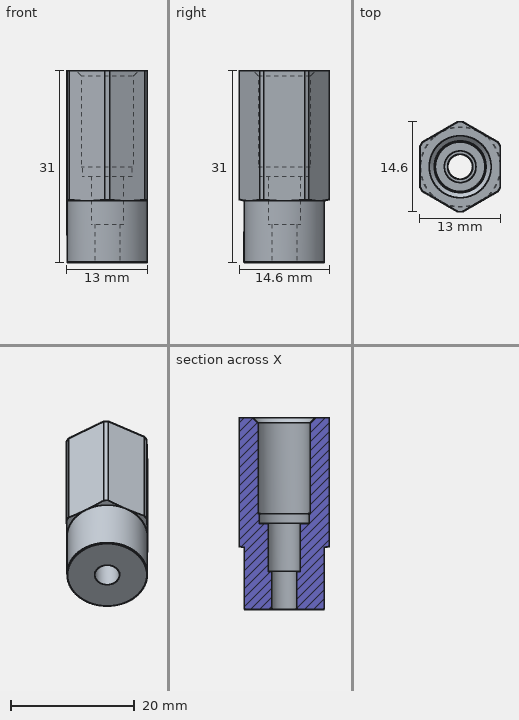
import cadquery as cq
import math

total_length = 31.0
across_flats = 13.0
across_corners = 14.57
shank_diameter = across_flats
shank_length = 10.0
shank_chamfer_height = 0.2
shank_chamfer_inset = 0.1

trim_cone_angle = 14.0

mouth_diameter = 10.0
bore_diameter = 8.37
seat_diameter = 8.0
counterbore_diameter = 5.1
through_diameter = 4.0
mouth_angle = 45.0
bore_floor_height = 15.5
seat_floor_height = 13.95
counterbore_floor_height = 6.2


def cylinder(diameter, bottom, top):
    return cq.Workplane("XY").workplane(offset=bottom).circle(diameter / 2).extrude(top - bottom)


def revolve_profile(points):
    """Turn a closed (radius, height) outline about the Z axis."""
    return cq.Workplane("XZ").polyline(points).close().revolve(360, (0, 0, 0), (0, 1, 0))


def shank():
    """Round lower body with a steep chamfer around its lower end."""
    radius = shank_diameter / 2
    return revolve_profile([
        (0, 0),
        (radius - shank_chamfer_inset, 0),
        (radius, shank_chamfer_height),
        (radius, shank_length),
        (0, shank_length),
    ])


def hexagon():
    """Hexagonal bar with turned corners and a conical lower end."""
    sharp_corner_diameter = across_flats / math.cos(math.radians(30))
    bar = (
        cq.Workplane("XY")
        .workplane(offset=shank_length)
        .polygon(6, sharp_corner_diameter)
        .extrude(total_length - shank_length)
        .rotate((0, 0, 0), (0, 0, 1), 30)
    )
    inner_radius = shank_diameter / 2
    outer_radius = across_corners / 2
    cone_rise = (outer_radius - inner_radius) * math.tan(math.radians(trim_cone_angle))
    envelope = revolve_profile([
        (0, shank_length),
        (inner_radius, shank_length),
        (outer_radius, shank_length + cone_rise),
        (outer_radius, total_length),
        (0, total_length),
    ])
    return bar.intersect(envelope)


def passage():
    """Stepped hole through the whole length with a conical mouth at the top."""
    mouth_radius = mouth_diameter / 2
    bore_radius = bore_diameter / 2
    mouth_depth = (mouth_radius - bore_radius) * math.tan(math.radians(mouth_angle))
    mouth = revolve_profile([
        (0, total_length),
        (mouth_radius, total_length),
        (bore_radius, total_length - mouth_depth),
        (0, total_length - mouth_depth),
    ])
    return (
        mouth
        .union(cylinder(bore_diameter, bore_floor_height, total_length - mouth_depth))
        .union(cylinder(seat_diameter, seat_floor_height, bore_floor_height))
        .union(cylinder(counterbore_diameter, counterbore_floor_height, seat_floor_height))
        .union(cylinder(through_diameter, 0, counterbore_floor_height))
    )


result = shank().union(hexagon()).cut(passage())